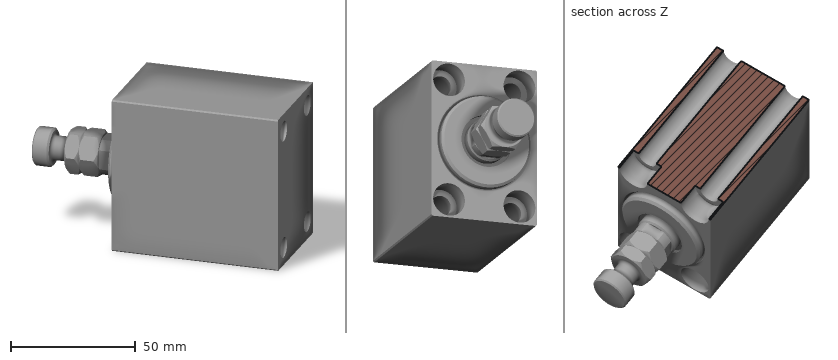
import cadquery as cq
import math


total_length = 109.0

block_length = 70.2
block_width = 45.0
block_height = 65.0
block_edge_chamfer = 0.5

screw_pitch_y = 30.0
screw_pitch_z = 50.0
screw_hole_diameter = 8.5
screw_head_diameter = 13.5
screw_head_depth = 10.0

gland_diameter = 38.0
gland_projection = 3.0
gland_seat_depth = 10.0
gland_chamfer = 1.0
gland_mouth_diameter = 40.0
wiper_recess_diameter = 21.5
wiper_recess_depth = 1.5

rod_diameter = 18.0
rod_projection = 5.9
rod_shoulder_chamfer = 0.8
tip_diameter = 17.0
tip_across_flats = 14.9
tip_length = 4.8
tip_end_chamfer = 0.4

hex_across_flats = 17.0
lock_hex_length = 8.2
front_hex_length = 6.0
hex_face_diameter = 16.9
neck_diameter = 10.0
neck_fillet = 0.9
head_diameter = 16.0
head_length = 7.1
head_front_chamfer = 0.5
head_back_chamfer = 0.8

shoulder_x = -rod_projection
tip_end_x = shoulder_x - tip_length
hex_joint_x = tip_end_x - lock_hex_length
hex_front_x = hex_joint_x - front_hex_length
stud_front_x = block_length - total_length
head_back_x = stud_front_x + head_length


def cylinder_x(diameter, start_x, end_x):
    """Cylinder on the X axis between two stations, start_x < end_x."""
    return cq.Workplane("YZ", origin=(start_x, 0, 0)).circle(diameter / 2).extrude(end_x - start_x)


def make_block():
    block = (
        cq.Workplane("YZ")
        .rect(block_width, block_height)
        .extrude(block_length)
        .edges("|X")
        .chamfer(block_edge_chamfer)
    )
    screw_places = cq.Workplane("YZ").rect(screw_pitch_y, screw_pitch_z, forConstruction=True).vertices()
    block = block.cut(screw_places.circle(screw_hole_diameter / 2).extrude(block_length))
    block = block.cut(screw_places.circle(screw_head_diameter / 2).extrude(screw_head_depth))

    mouth_bevel = (gland_mouth_diameter - gland_diameter) / 2
    seat = cylinder_x(gland_diameter, 0, gland_seat_depth)
    mouth = cq.Workplane("YZ").circle(gland_mouth_diameter / 2).extrude(mouth_bevel, taper=45)
    return block.cut(seat).cut(mouth)


def make_gland():
    gland = cylinder_x(gland_diameter, -gland_projection, gland_seat_depth)
    gland = gland.faces("<X").chamfer(gland_chamfer)
    recess = cylinder_x(wiper_recess_diameter, -gland_projection, wiper_recess_depth - gland_projection)
    bore = cylinder_x(rod_diameter, -gland_projection, gland_seat_depth)
    return gland.cut(recess).cut(bore)


def make_rod():
    rod = cylinder_x(rod_diameter, shoulder_x, gland_seat_depth)
    rod = rod.faces("<X").chamfer(rod_shoulder_chamfer)
    tip = cylinder_x(tip_diameter, tip_end_x, shoulder_x).faces("<X").chamfer(tip_end_chamfer)
    flats = (
        cq.Workplane("YZ", origin=(tip_end_x, 0, 0))
        .rect(tip_across_flats, tip_across_flats)
        .extrude(tip_length)
    )
    return rod.union(tip.intersect(flats))


def make_hex(start_x, length):
    """Hexagon with corners toward +Y and -Y, its corners bevelled at 45 degrees at both ends."""
    across_corners = hex_across_flats / math.cos(math.pi / 6)
    prism = cq.Workplane("YZ", origin=(start_x, 0, 0)).polygon(6, across_corners).extrude(length)
    corner_bevel = (across_corners - hex_face_diameter) / 2
    envelope = cylinder_x(across_corners, start_x, start_x + length).edges().chamfer(corner_bevel)
    return prism.intersect(envelope)


def make_stud():
    head = cylinder_x(head_diameter, stud_front_x, head_back_x)
    head = head.faces("<X").chamfer(head_front_chamfer)
    head = head.faces(">X").chamfer(head_back_chamfer)
    neck_radius = neck_diameter / 2
    flare_radius = neck_radius + neck_fillet
    bulge = neck_fillet * (1 - math.sqrt(0.5))
    neck = (
        cq.Workplane("XY")
        .moveTo(head_back_x, 0)
        .lineTo(head_back_x, flare_radius)
        .threePointArc(
            (head_back_x + bulge, neck_radius + bulge),
            (head_back_x + neck_fillet, neck_radius),
        )
        .lineTo(hex_front_x - neck_fillet, neck_radius)
        .threePointArc(
            (hex_front_x - bulge, neck_radius + bulge),
            (hex_front_x, flare_radius),
        )
        .lineTo(hex_front_x, 0)
        .close()
        .revolve(360, (0, 0, 0), (1, 0, 0))
    )
    front_hex = make_hex(hex_front_x, front_hex_length)
    lock_hex = make_hex(hex_joint_x, lock_hex_length)
    return head.union(neck).union(front_hex).union(lock_hex)


block = make_block()
gland = make_gland()
rod = make_rod()
stud = make_stud()

result = cq.Compound.makeCompound([block.val(), gland.val(), rod.val(), stud.val()])